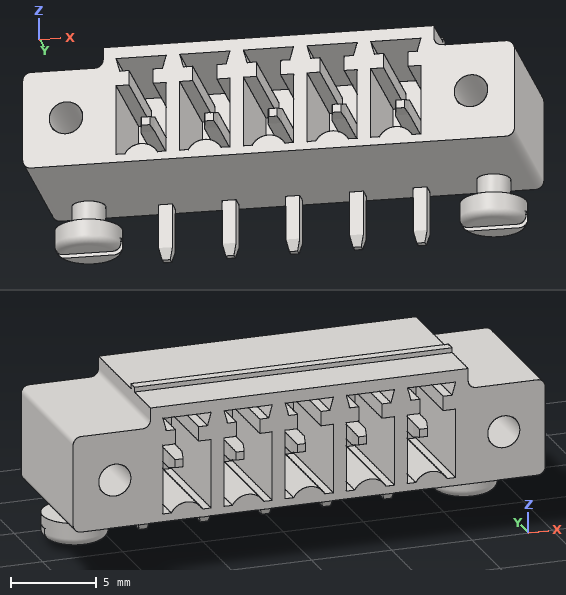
import cadquery as cq

total_width = 29.44
depth = 9.2
ear_height = 6.0
body_width = 19.8
body_height = 7.25
corner_radius = 0.5

rib_height = 0.3
rib_thickness = 0.65
rib_center_y = 3.15

contact_count = 5
pitch = 3.81
cavity_depth = 7.0
cavity_half_width = 1.5
cavity_floor_z = 0.5
shoulder_z = 4.8
neck_half_width = 0.725
neck_top_z = 5.7
flare_half_width = 1.28
cavity_top_z = 6.5
floor_hump_half_width = 0.98
floor_hump_height = 0.57

pin_thickness = 0.84
pin_width = 0.92
tip_size = 0.5
taper_length = 0.68
mating_axis_z = 3.0
mating_tip_y = 1.4
solder_axis_y = 8.0
solder_tip_z = -3.4

flange_x = 12.12
flange_hole_diameter = 2.0
flange_hole_depth = 6.0
screw_axis_y = 7.1
shank_diameter = 2.0
shank_length = 1.5
head_diameter = 4.0
head_height = 1.5
head_fillet = 0.5
slot_width = 0.6
slot_depth = 0.8

contact_positions = [(i - (contact_count - 1) / 2) * pitch for i in range(contact_count)]


def make_housing():
    """Raised body between two lower ears, rounded everywhere but at its top edges."""
    ear_x = total_width / 2
    body_x = body_width / 2
    outline = [
        (-ear_x, 0),
        (ear_x, 0),
        (ear_x, ear_height),
        (body_x, ear_height),
        (body_x, body_height),
        (-body_x, body_height),
        (-body_x, ear_height),
        (-ear_x, ear_height),
    ]
    housing = cq.Workplane("XZ").polyline(outline).close().extrude(-depth)
    return housing.edges("|Y and (not >Z)").fillet(corner_radius)


def make_rib():
    """Low straight rib across the full width of the raised body."""
    rib = cq.Workplane("XY", origin=(0, rib_center_y, body_height))
    return rib.box(body_width, rib_thickness, rib_height, centered=(True, True, False))


def make_cavity(x):
    """Keyed cavity open at the front, with a necked top and an arched floor."""
    return (
        cq.Workplane("XZ", origin=(x, 0, 0))
        .moveTo(-cavity_half_width, cavity_floor_z)
        .lineTo(-floor_hump_half_width, cavity_floor_z)
        .threePointArc((0, cavity_floor_z + floor_hump_height), (floor_hump_half_width, cavity_floor_z))
        .lineTo(cavity_half_width, cavity_floor_z)
        .lineTo(cavity_half_width, shoulder_z)
        .lineTo(neck_half_width, shoulder_z)
        .lineTo(neck_half_width, neck_top_z)
        .lineTo(flare_half_width, neck_top_z)
        .lineTo(cavity_half_width, cavity_top_z)
        .lineTo(-cavity_half_width, cavity_top_z)
        .lineTo(-flare_half_width, neck_top_z)
        .lineTo(-neck_half_width, neck_top_z)
        .lineTo(-neck_half_width, shoulder_z)
        .lineTo(-cavity_half_width, shoulder_z)
        .close()
        .extrude(-cavity_depth)
    )


def make_pin_leg(plane, length):
    """Rectangular leg that leaves the plane along its normal and ends in a tapered tip."""
    shaft_length = length - taper_length
    shaft = cq.Workplane(plane).rect(pin_thickness, pin_width).extrude(shaft_length)
    taper = (
        cq.Workplane(plane)
        .workplane(offset=shaft_length)
        .rect(pin_thickness, pin_width)
        .workplane(offset=taper_length)
        .rect(tip_size, tip_size)
        .loft(ruled=True)
    )
    return shaft.union(taper)


def make_pin(x):
    """Right-angle pin: a mating leg in the cavity and a solder leg below the housing."""
    mating_start_y = solder_axis_y + pin_width / 2
    solder_start_z = mating_axis_z + pin_width / 2
    mating_plane = cq.Plane(origin=(x, mating_start_y, mating_axis_z), xDir=(1, 0, 0), normal=(0, -1, 0))
    solder_plane = cq.Plane(origin=(x, solder_axis_y, solder_start_z), xDir=(1, 0, 0), normal=(0, 0, -1))
    mating_leg = make_pin_leg(mating_plane, mating_start_y - mating_tip_y)
    solder_leg = make_pin_leg(solder_plane, solder_start_z - solder_tip_z)
    return mating_leg.union(solder_leg)


def make_flange_hole(x):
    """Blind round hole in the front of an ear."""
    hole = cq.Workplane("XZ", origin=(x, 0, mating_axis_z))
    return hole.circle(flange_hole_diameter / 2).extrude(-flange_hole_depth)


def make_screw(x):
    """Slotted, rounded screw head on a shank that hangs from the underside of an ear."""
    shank = cq.Workplane("XY", origin=(x, screw_axis_y, 0)).circle(shank_diameter / 2).extrude(-shank_length)
    head_top = cq.Workplane("XY", origin=(x, screw_axis_y, -shank_length))
    head = head_top.circle(head_diameter / 2).extrude(-head_height).faces("<Z").edges().fillet(head_fillet)
    slot_top = head_top.workplane(offset=slot_depth - head_height)
    slot = slot_top.rect(head_diameter, slot_width).extrude(-slot_depth)
    return shank.union(head.cut(slot))


connector = make_housing().union(make_rib())
for contact_x in contact_positions:
    connector = connector.cut(make_cavity(contact_x)).union(make_pin(contact_x))
for ear_center_x in (-flange_x, flange_x):
    connector = connector.cut(make_flange_hole(ear_center_x)).union(make_screw(ear_center_x))

result = connector